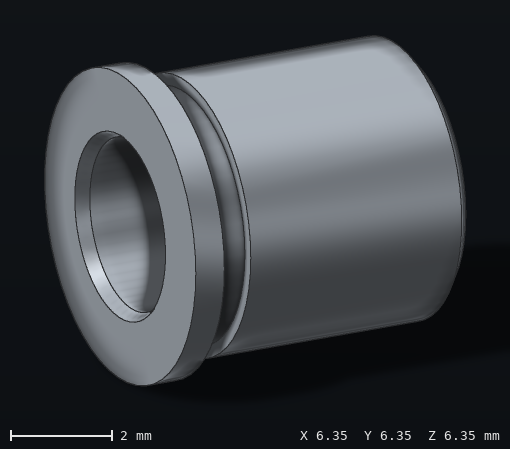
import cadquery as cq

length = 6.35
flange_diameter = 6.35
flange_thickness = 0.635
groove_diameter = 5.21
groove_width = 0.76
body_diameter = 5.7
lead_in_length = 0.255
lead_in_depth = 0.305
bore_diameter = 3.505
bore_chamfer_depth = 0.15
bore_chamfer_length = 0.255

front = -length / 2
back = length / 2


def cylinder(diameter, start, end):
    """Solid cylinder on the Y axis between two Y positions."""
    plane = cq.Workplane("XZ", origin=(0, start, 0))
    return plane.circle(diameter / 2).extrude(start - end)


flange_back = front + flange_thickness
groove_back = flange_back + groove_width
flange = cylinder(flange_diameter, front, flange_back)
groove = cylinder(groove_diameter, flange_back, groove_back)
body = cylinder(body_diameter, groove_back, back)

body = body.faces(">Y").edges().chamfer(lead_in_length, lead_in_depth)

bore = cylinder(bore_diameter, front, back)
bore_mouth = (
    cq.Workplane("XZ", origin=(0, front, 0))
    .circle(bore_diameter / 2 + bore_chamfer_depth)
    .workplane(offset=-bore_chamfer_length)
    .circle(bore_diameter / 2)
    .loft(ruled=True)
)

result = flange.union(groove).union(body).cut(bore).cut(bore_mouth)